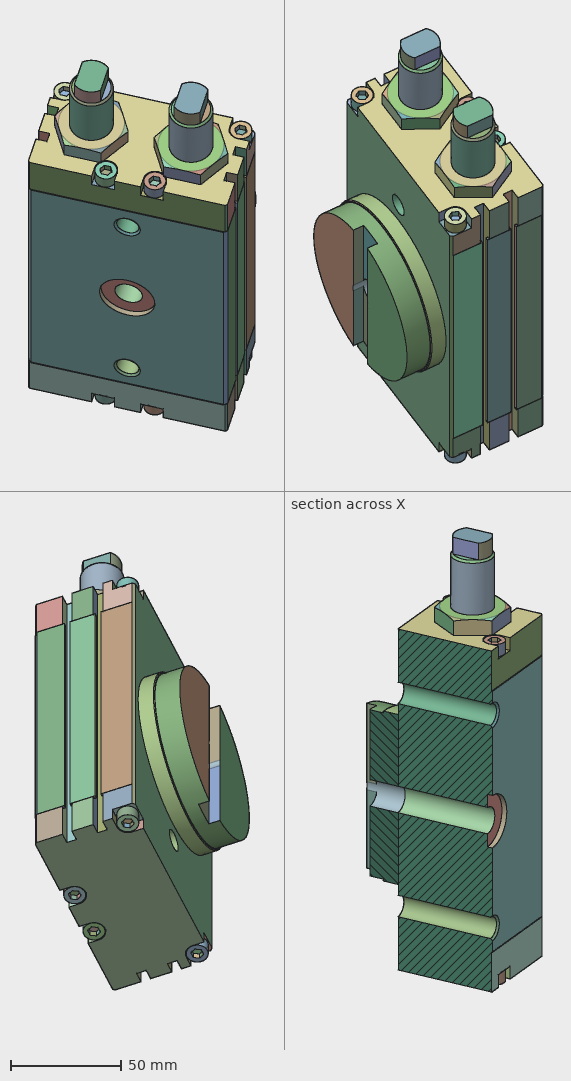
import cadquery as cq
import math


housing_width = 94.0
housing_depth = 49.5
housing_height = 170.0
cap_height = 20.0
cap_step = 0.5
cap_side_step = 0.1
front_chamfer = 1.7
cap_front_chamfer = 0.9
back_chamfer = 1.3
half_width = housing_width / 2
half_height = housing_height / 2
block_end = half_height - cap_height

slot_positions = (16.5, 31.5)
slot_depth = 5.3
slot_width = 4.7
slot_mouth = 2.8
slot_lip = 1.5

bore_diameter = 13.0
counterbore_diameter = 26.0
counterbore_depth = 2.5
mount_diameter = 10.5
mount_rim_diameter = 12.4
mount_spacing = 106.0

screw_diameter = 10.0
pocket_diameter = 10.6
pocket_depth = 6.4
screw_head_height = 6.2
socket_size = 5.8
socket_depth = 3.0
front_screw_x = 11.5
screw_inset = 5.5

flange_diameter = 85.0
table_diameter = 83
table_depth = 20.0
flange_depth = 7.9
flange_chamfer = 0.5
key_slot_width = 12.4
key_slot_depth = 5.3

absorber_x = 23.5
absorber_y = 23.9
nut_across_flats = 30.0
nut_height = 7.9
nut_chamfer_drop = 0.6
barrel_diameter = 20.0
barrel_chamfer = 1.0
barrel_end = 34.7
tip_diameter = 18.0
tip_flats = 12.4
overall_height = 213

absorber_height = overall_height - housing_height
pocket_radius = pocket_diameter / 2
pocket_floor_z = half_height - pocket_depth
side_screw_x = half_width - screw_inset
back_screw_y = housing_depth - screw_inset


def box(x_range, y_range, z_range):
    """Box between the given limits."""
    sizes = [high - low for low, high in (x_range, y_range, z_range)]
    corner = (x_range[0], y_range[0], z_range[0])
    return cq.Workplane("XY").box(*sizes, centered=False).translate(corner)


def rod(diameter, start_y, end_y, z=0):
    """Round rod along Y, centred on X = 0."""
    solid = cq.Workplane("XZ").circle(diameter / 2).extrude(start_y - end_y)
    return solid.translate((0, start_y, z))


def chamfered_box(half_x, front_y, z_range, front, back):
    """Box reaching to the back face, with chamfers of two sizes on its front and back Z edges."""
    block = box((-half_x, half_x), (front_y, housing_depth), z_range)
    block = block.edges("|Z and <Y").chamfer(front)
    return block.edges("|Z and >Y").chamfer(back)


def housing_block():
    """Middle block with a slightly smaller cap at each end; their back chamfers are flush."""
    middle = chamfered_box(half_width, 0, (-block_end, block_end), front_chamfer, back_chamfer)
    cap = chamfered_box(half_width - cap_side_step, cap_step, (block_end, half_height),
                        cap_front_chamfer, back_chamfer - cap_side_step)
    return middle.union(cap).union(cap.mirror("XY"))


def side_slots():
    """Slots in both sides: T-shaped along the block, plain through the caps."""
    cutters = cq.Workplane("XY")
    for y in slot_positions:
        wide = (y - slot_width / 2, y + slot_width / 2)
        narrow = (y - slot_mouth / 2, y + slot_mouth / 2)
        floor_x = half_width - slot_depth
        lip_x = half_width - slot_lip
        slot = box((floor_x, lip_x), wide, (-half_height, half_height))
        slot = slot.union(box((lip_x, half_width), narrow, (-block_end, block_end)))
        end_mouth = box((lip_x, half_width), wide, (block_end, half_height))
        slot = slot.union(end_mouth).union(end_mouth.mirror("XY"))
        cutters = cutters.add(slot).add(slot.mirror("YZ"))
    return cutters.combine()


def front_holes():
    """Counterbored centre bore and two mounting holes with countersunk rims."""
    holes = rod(bore_diameter, 0, housing_depth)
    holes = holes.union(rod(counterbore_diameter, 0, counterbore_depth))
    rim_radius = mount_rim_diameter / 2
    mount_radius = mount_diameter / 2
    for z in (-mount_spacing / 2, mount_spacing / 2):
        holes = holes.union(rod(mount_diameter, 0, housing_depth, z))
        countersink = cq.Solid.makeCone(rim_radius, mount_radius, rim_radius - mount_radius,
                                        pnt=cq.Vector(0, 0, z), dir=cq.Vector(0, 1, 0))
        holes = holes.union(cq.Workplane(countersink))
    return holes


def top_pockets():
    """Screw pockets in the upper cap, open to the nearest outer faces."""
    levels = (pocket_floor_z, half_height)
    front = box((front_screw_x - pocket_radius, front_screw_x + pocket_radius), (0, screw_inset), levels)
    front_end = (cq.Workplane("XY", origin=(front_screw_x, screw_inset, pocket_floor_z))
                 .circle(pocket_radius).extrude(pocket_depth))
    corner = box((side_screw_x - pocket_radius, half_width),
                 (back_screw_y - pocket_radius, housing_depth), levels)
    corner = corner.edges("|Z and <X and <Y").fillet(pocket_radius)
    pockets = front.union(front_end).union(corner)
    return pockets.union(pockets.mirror("YZ"))


def top_screws():
    """Socket head screws of the upper cap."""
    places = [(side * x, y) for side in (-1, 1)
              for x, y in ((front_screw_x, screw_inset), (side_screw_x, back_screw_y))]
    screws = (cq.Workplane("XY", origin=(0, 0, pocket_floor_z))
              .pushPoints(places).circle(screw_diameter / 2).extrude(screw_head_height))
    head_top = pocket_floor_z + screw_head_height
    sockets = (cq.Workplane("XY", origin=(0, 0, head_top))
               .pushPoints(places).polygon(6, socket_size).extrude(-socket_depth))
    return screws.cut(sockets)


def make_housing():
    """Housing with caps and cap screws."""
    pockets = top_pockets()
    screws = top_screws()
    body = housing_block().cut(side_slots()).cut(front_holes())
    body = body.cut(pockets).cut(pockets.mirror("XY"))
    return body.union(screws).union(screws.mirror("XY"))


def make_table():
    """Round table on the back of the housing, with a bore and a key slot across its face."""
    end_y = housing_depth + table_depth
    flange = rod(flange_diameter, housing_depth, housing_depth + flange_depth)
    flange = flange.faces(">Y").edges().chamfer(flange_chamfer)
    table = flange.union(rod(table_diameter, housing_depth, end_y))
    half_slot = key_slot_width / 2
    half_length = flange_diameter / 2
    key_slot = box((-half_slot, half_slot), (end_y - key_slot_depth, end_y), (-half_length, half_length))
    return table.cut(key_slot).cut(rod(bore_diameter, housing_depth, end_y))


def make_absorber(x):
    """Shock absorber standing on the upper cap: hex nut, barrel and tip with two flats."""
    nut_corner = nut_across_flats / math.cos(math.radians(30))
    nut_radius = nut_across_flats / 2
    corner_radius = nut_corner / 2
    nut = cq.Workplane("XY").polygon(6, nut_corner).extrude(nut_height)
    nut_cone = (cq.Workplane("XZ")
                .polyline([(0, 0), (corner_radius, 0), (corner_radius, nut_height - nut_chamfer_drop),
                           (nut_radius, nut_height), (0, nut_height)])
                .close().revolve(360, (0, 0), (0, 1)))
    nut = nut.intersect(nut_cone)
    barrel = cq.Workplane("XY").circle(barrel_diameter / 2).extrude(barrel_end)
    barrel = barrel.faces(">Z").edges().chamfer(barrel_chamfer)
    tip = cq.Workplane("XY").circle(tip_diameter / 2).extrude(absorber_height)
    flats = cq.Workplane("XY").rect(tip_flats, tip_diameter).extrude(absorber_height)
    absorber = nut.union(barrel).union(tip.intersect(flats))
    return absorber.translate((x, absorber_y, half_height))


housing = make_housing()
table = make_table()
absorbers = [make_absorber(x) for x in (-absorber_x, absorber_x)]

result = cq.Compound.makeCompound(
    [housing.val(), table.val(), *[absorber.val() for absorber in absorbers]]
)